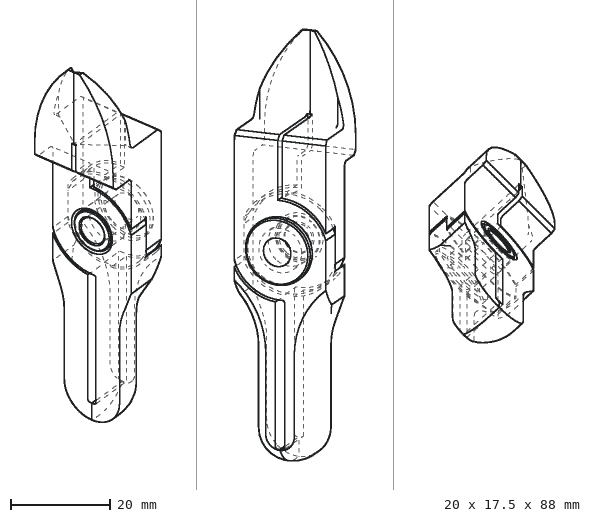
import cadquery as cq
import math


half_width = 20.0 / 2
tip_z = 42.0
bottom_z = -46.0
body_depth = 10.0
lap_depth = body_depth / 2

blade_depth = 6.0
blade_underside_z = 17.0
step_z = 24.0
step_chamfer = 1.0
step_fillet = 1.0
blade_arc_start_z = 21.0
blade_arc_radius = 30.0
blade_flat_width = 1.5

boss_radius = 10.5
boss_clearance = 0.5

upper_slot_width = 1.0
upper_slot_top_z = 24.4
lower_slot_width = 2.0
lower_slot_bottom_z = -41.9
lower_slot_corner_radius = 0.5

grip_half_width = 7.0
grip_end_z = bottom_z + grip_half_width
waist_radius = 15.0
waist_start_z = -21.9
taper_angle = math.radians(20)
grip_flat_depth = 2.5
grip_round_radius = 9.2

pin_radius = 4.7
pin_hole_countersink = 0.5
pin_end_chamfer = 0.3
pin_bore_radius = 3.0
pin_bore_chamfer = 0.3
pin_head_radius = 7.0
pin_head_depth = 1.5
pin_head_chamfer = 0.35

margin = 0.9


def plane_across_y(y):
    """XZ workplane at the given depth; extruding by a negative length runs toward +Y."""
    return cq.Workplane("XZ", origin=(0, y, 0))


def disc(radius, start_y, end_y):
    """Cylinder on the pivot axis."""
    return plane_across_y(start_y).circle(radius).extrude(start_y - end_y)


def block(x_range, y_range, z_range):
    sizes = [high - low for low, high in (x_range, y_range, z_range)]
    return cq.Workplane("XY").box(*sizes, centered=False).translate((x_range[0], y_range[0], z_range[0]))


def arc_point(center, radius, angle):
    return (center[0] + radius * math.cos(angle), center[1] + radius * math.sin(angle))


def outline_prism():
    """Outline in XZ with pointed blades, waist and rounded grip end, over the full depth."""
    blade_center = (half_width - blade_arc_radius, blade_arc_start_z)
    tip_angle = math.asin((tip_z - blade_arc_start_z) / blade_arc_radius)
    tip = arc_point(blade_center, blade_arc_radius, tip_angle)
    blade_middle = arc_point(blade_center, blade_arc_radius, tip_angle / 2)

    waist_center = (grip_half_width + waist_radius, waist_start_z)
    waist_end = arc_point(waist_center, waist_radius, math.pi - taper_angle)
    waist_middle = arc_point(waist_center, waist_radius, math.pi - taper_angle / 2)
    shoulder_z = waist_end[1] + (half_width - waist_end[0]) / math.tan(taper_angle)

    grip_end_middle = arc_point((0, grip_end_z), grip_half_width, -math.pi / 4)

    half_outline = (
        plane_across_y(-blade_depth)
        .moveTo(0, tip_z)
        .lineTo(*tip)
        .threePointArc(blade_middle, (half_width, blade_arc_start_z))
        .lineTo(half_width, shoulder_z)
        .lineTo(*waist_end)
        .threePointArc(waist_middle, (grip_half_width, waist_start_z))
        .lineTo(grip_half_width, grip_end_z)
        .threePointArc(grip_end_middle, (0, bottom_z))
        .close()
        .extrude(-(blade_depth + body_depth))
    )
    return half_outline.union(half_outline.mirror("YZ"))


def side_profile_prism():
    """Stepped profile in YZ: the blades stand forward of the lap and grips."""
    profile = (
        cq.Workplane("YZ", origin=(-half_width, 0, 0))
        .moveTo(-blade_depth, tip_z)
        .lineTo(-blade_depth, blade_underside_z + step_chamfer)
        .lineTo(-blade_depth + step_chamfer, blade_underside_z)
        .lineTo(-step_fillet, blade_underside_z)
        .radiusArc((0, blade_underside_z - step_fillet), step_fillet)
        .lineTo(0, bottom_z)
        .lineTo(body_depth, bottom_z)
        .lineTo(body_depth, step_z - step_chamfer)
        .lineTo(body_depth - step_chamfer, step_z)
        .lineTo(body_depth - step_chamfer, tip_z)
        .close()
    )
    return profile.extrude(2 * half_width)


def grip_rounding_profile(plane):
    """Region beyond the rounded back of the right grip, as an XY section."""
    def inset(depth):
        return grip_round_radius - math.sqrt(grip_round_radius**2 - depth**2)

    round_depth = body_depth - grip_flat_depth
    return (
        plane.moveTo(grip_half_width, grip_flat_depth)
        .threePointArc(
            (grip_half_width - inset(round_depth / 2), grip_flat_depth + round_depth / 2),
            (grip_half_width - inset(round_depth), body_depth),
        )
        .lineTo(grip_half_width - inset(round_depth), body_depth + margin)
        .lineTo(grip_half_width + margin, body_depth + margin)
        .lineTo(grip_half_width + margin, grip_flat_depth)
        .close()
    )


def grip_rounding_cutters():
    """Rounding swept around the grip end, up the straight grips and out along the waist arcs."""
    waist_sweep_degrees = 60
    end_plane = cq.Workplane("XY", origin=(0, 0, grip_end_z))
    waist_plane = cq.Workplane("XY", origin=(0, 0, waist_start_z))
    waist_axis_x = grip_half_width + waist_radius

    end = grip_rounding_profile(end_plane).revolve(180, (0, 0), (0, 1))
    straight = grip_rounding_profile(end_plane).extrude(waist_start_z - grip_end_z)
    waist = grip_rounding_profile(waist_plane).revolve(
        waist_sweep_degrees, (waist_axis_x, 0), (waist_axis_x, 1)
    )
    return [end, straight, straight.mirror("YZ"), waist, waist.mirror("YZ")]


def slot_cutters():
    """Gaps between the halves above and below the lap bosses."""
    y_range = (-blade_depth - margin, body_depth + margin)
    upper_x_range = (-upper_slot_width / 2, upper_slot_width / 2)
    lower_x_range = (-lower_slot_width / 2, lower_slot_width / 2)
    upper = block(upper_x_range, y_range, (boss_radius, upper_slot_top_z))
    lower = block(lower_x_range, y_range, (lower_slot_bottom_z, -boss_radius))
    return [upper, lower.edges("|Y").fillet(lower_slot_corner_radius)]


def pin_hole_cutter():
    """Through hole for the pin, countersunk at the front."""
    countersink = (
        plane_across_y(0)
        .circle(pin_radius + pin_hole_countersink)
        .workplane(offset=-pin_hole_countersink)
        .circle(pin_radius)
        .loft(ruled=True)
    )
    return disc(pin_radius, 0, body_depth).union(countersink)


def blade_back_cutter(side):
    """Space behind one blade, sloping from the cutting edge at X = 0 back to a narrow flat."""
    slope_end_x = half_width - blade_flat_width
    slope = blade_depth / slope_end_x
    points = [
        (-margin, -blade_depth - margin * slope),
        (slope_end_x, 0),
        (half_width + margin, 0),
        (half_width + margin, body_depth + margin),
        (-margin, body_depth + margin),
    ]
    slope_edge_point = (slope_end_x / 2, -blade_depth / 2, step_z)
    flat_edge_point = (half_width - blade_flat_width / 2, 0, step_z)
    cutter = (
        cq.Workplane("XY", origin=(0, 0, step_z))
        .polyline(points)
        .close()
        .extrude(tip_z - step_z + margin)
        .faces("<Z")
        .edges(
            cq.selectors.NearestToPointSelector(slope_edge_point)
            + cq.selectors.NearestToPointSelector(flat_edge_point)
        )
        .fillet(step_fillet)
    )
    return cutter if side > 0 else cutter.mirror("YZ")


def blank():
    """Shape shared by the two halves, before it is divided at the lap joint."""
    body = outline_prism().intersect(side_profile_prism())
    for cutter in [*grip_rounding_cutters(), *slot_cutters(), pin_hole_cutter()]:
        body = body.cut(cutter)
    return body


def plier_half(side, boss_range, recess_range):
    """Half with its blade on the given X side, its grip on the other and a lap boss between."""
    y_range = (-blade_depth, body_depth)
    x_sides = {1: (0, half_width), -1: (-half_width, 0)}
    blade_region = block(x_sides[side], y_range, (0, tip_z))
    grip_region = block(x_sides[-side], y_range, (bottom_z, 0))
    region = (
        blade_region.union(grip_region)
        .cut(disc(boss_radius + boss_clearance, *recess_range))
        .union(disc(boss_radius, *boss_range))
    )
    return blank().intersect(region).cut(blade_back_cutter(side))


def pivot_pin():
    """Shaft flush with the front face, headed at the back and bored through."""
    shaft = disc(pin_radius, 0, body_depth).faces("<Y").chamfer(pin_end_chamfer)
    head = (
        disc(pin_head_radius, body_depth, body_depth + pin_head_depth)
        .faces(">Y")
        .chamfer(pin_head_chamfer)
    )
    bore = disc(pin_bore_radius, 0, body_depth + pin_head_depth)
    bored_pin = shaft.union(head).cut(bore)
    front_bore_edge = bored_pin.faces("<Y").edges(cq.selectors.RadiusNthSelector(0))
    return front_bore_edge.chamfer(pin_bore_chamfer)


front_layer = (0, lap_depth)
back_layer = (lap_depth, body_depth)

left_blade_half = plier_half(-1, front_layer, back_layer)
right_blade_half = plier_half(1, back_layer, front_layer)
pin = pivot_pin()

result = cq.Compound.makeCompound([left_blade_half.val(), right_blade_half.val(), pin.val()])